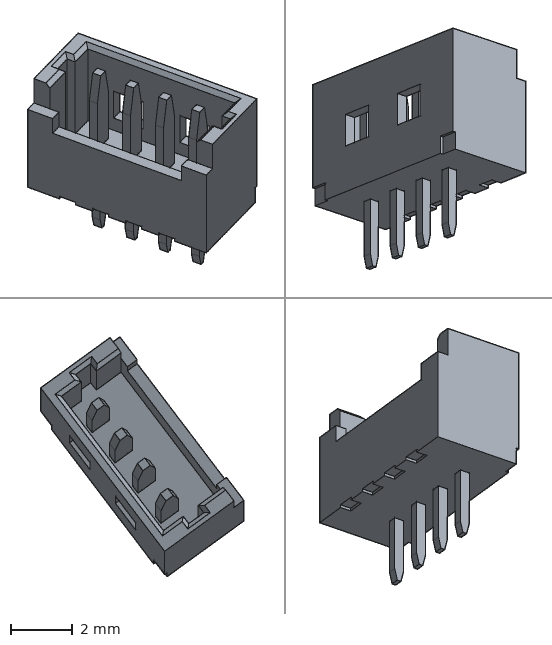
import cadquery as cq


LENGTH = 6.75
DEPTH = 3.2
HEIGHT = 4.2

FLOOR_Z = 1.1
BACK_WALL = 0.4
FRONT_WALL = 0.4
END_WALL = 0.6
LEAD_IN = 0.15
KEY_END_WALL = 0.3
KEY_FRONT_Y = 1.4
KEY_BACK_Y = 2.005

SHOULDER_Z = 3.2
SILL_Z = 2.6
SILL_LENGTH = 4.86

PIN_COUNT = 4
PITCH = 1.25
PIN_Y = 2.0
PIN_WIDTH = 0.305
CONTACT_DEPTH = 0.7
CONTACT_TIP_DEPTH = 0.3
CONTACT_TAPER_Z = 3.0
CONTACT_TIP_Z = 4.0
TAIL_DEPTH = 0.35
TAIL_TIP_DEPTH = 0.15
TAIL_LENGTH = 2.3
TAIL_TAPER = 0.4

WINDOW_LENGTH = 1.1
WINDOW_BOTTOM_Z = 1.6
WINDOW_TOP_Z = 2.7

NOTCH_LENGTH = 0.6
NOTCH_HEIGHT = 0.1
NOTCH_DEPTH = FRONT_WALL
CORNER_RECESS_DEPTH = 0.1
CORNER_RECESS_HEIGHT = 0.6

CAVITY_HALF = LENGTH / 2 - END_WALL
KEY_HALF = LENGTH / 2 - KEY_END_WALL
CAVITY_BACK_Y = DEPTH - BACK_WALL
pin_positions = [(i - (PIN_COUNT - 1) / 2) * PITCH for i in range(PIN_COUNT)]


def box(x_range, y_range, z_range):
    """Box between the given limits along each axis."""
    (x0, x1), (y0, y1), (z0, z1) = x_range, y_range, z_range
    return cq.Workplane("XY").box(x1 - x0, y1 - y0, z1 - z0, centered=False).translate((x0, y0, z0))


def box_at(x, length, y_range, z_range):
    """Box of the given length centred on x."""
    return box((x - length / 2, x + length / 2), y_range, z_range)


def cavity_outline(z, growth, front_y):
    """Keyed cavity outline at height z, grown outward on all sides but the front."""
    half = CAVITY_HALF + growth
    key_half = KEY_HALF + growth
    key_front = KEY_FRONT_Y - growth
    key_back = KEY_BACK_Y + growth
    back = CAVITY_BACK_Y + growth
    right_side = [
        (half, front_y),
        (half, key_front),
        (key_half, key_front),
        (key_half, key_back),
        (half, key_back),
        (half, back),
    ]
    left_side = [(-x, y) for x, y in reversed(right_side)]
    return cq.Workplane("XY").workplane(offset=z).polyline(right_side + left_side).close()


def cavity():
    """Keyed cavity with a lead-in chamfer around its mouth."""
    straight = cavity_outline(FLOOR_Z, 0, FRONT_WALL).extrude(HEIGHT - FLOOR_Z)
    mouth_bottom = cavity_outline(HEIGHT - LEAD_IN, 0, FRONT_WALL).wire().val()
    mouth_top = cavity_outline(HEIGHT, LEAD_IN, FRONT_WALL).wire().val()
    mouth = cq.Workplane(cq.Solid.makeLoft([mouth_bottom, mouth_top], True))
    return straight.union(mouth)


def front_cutaway():
    """Material removed above the front wall: the full-length shoulder and the lower sill."""
    wall_y = (0, FRONT_WALL)
    shoulder = box_at(0, LENGTH, wall_y, (SHOULDER_Z, HEIGHT))
    sill = box_at(0, SILL_LENGTH, wall_y, (SILL_Z, HEIGHT))
    return shoulder.union(sill)


def corner_recess(side):
    """Shallow recess in the lower back corner of one end (side is -1 or 1)."""
    x_limits = sorted((side * CAVITY_HALF, side * LENGTH / 2))
    return box(x_limits, (DEPTH - CORNER_RECESS_DEPTH, DEPTH), (0, CORNER_RECESS_HEIGHT))


def make_housing():
    body = box_at(0, LENGTH, (0, DEPTH), (0, HEIGHT))
    body = body.cut(cavity()).cut(front_cutaway())
    for side in (-1, 1):
        window_y = (CAVITY_BACK_Y, DEPTH)
        window_x = side * PITCH * (PIN_COUNT / 2 - 1)
        body = body.cut(box_at(window_x, WINDOW_LENGTH, window_y, (WINDOW_BOTTOM_Z, WINDOW_TOP_Z)))
        body = body.cut(corner_recess(side))
    hole_y = (PIN_Y - TAIL_DEPTH / 2, PIN_Y + TAIL_DEPTH / 2)
    for x in pin_positions:
        body = body.cut(box_at(x, PIN_WIDTH, hole_y, (0, FLOOR_Z)))
        body = body.cut(box_at(x, NOTCH_LENGTH, (0, NOTCH_DEPTH), (0, NOTCH_HEIGHT)))
    return body


def make_pin(x):
    """Flat pin: a broad contact standing on the cavity floor and a narrow tail through it."""
    back_edge = [
        (TAIL_TIP_DEPTH / 2, -TAIL_LENGTH),
        (TAIL_DEPTH / 2, TAIL_TAPER - TAIL_LENGTH),
        (TAIL_DEPTH / 2, FLOOR_Z),
        (CONTACT_DEPTH / 2, FLOOR_Z),
        (CONTACT_DEPTH / 2, CONTACT_TAPER_Z),
        (CONTACT_TIP_DEPTH / 2, CONTACT_TIP_Z),
    ]
    front_edge = [(-y, z) for y, z in reversed(back_edge)]
    profile = cq.Workplane("YZ").polyline(back_edge + front_edge).close()
    return profile.extrude(PIN_WIDTH / 2, both=True).translate((x, PIN_Y, 0))


housing = make_housing()
pins = [make_pin(x) for x in pin_positions]

result = cq.Compound.makeCompound([housing.val(), *[pin.val() for pin in pins]])